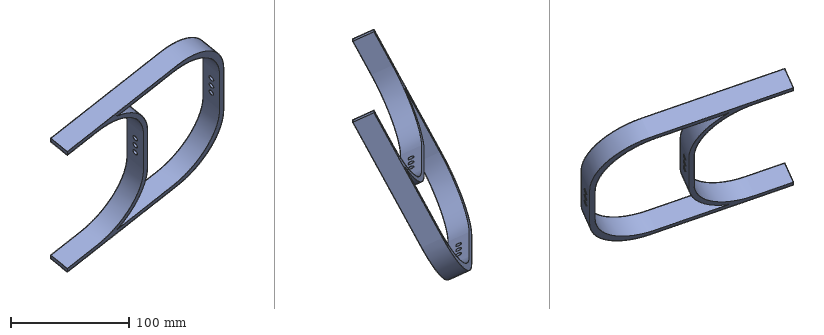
import cadquery as cq

width = 20.0
length = 185.0
height = 170.0
thickness = 5.0

outer_bend_radius = 55.0
crossbar_inner_radius = 55.0

crossbar_back = 95.0
hole_diameter = 5.2
hole_spacing = 10.0
hole_count = 3

rear = length / 2
front = -length / 2
inner_height = height - 2 * thickness


def rounded_end_plate(front_y, rear_y, plate_height, bend_radius):
    """Plate across the full width, with its two rear corners rounded."""
    plate_length = rear_y - front_y
    return (
        cq.Workplane("XY")
        .box(width, plate_length, plate_height)
        .edges(">Y and |X")
        .fillet(bend_radius)
        .translate((0, (front_y + rear_y) / 2, 0))
    )


def bent_strip(rear_y, inner_radius, outer_radius):
    """U-shaped strip opening toward the front."""
    outside = rounded_end_plate(front, rear_y, height, outer_radius)
    inside = rounded_end_plate(front - thickness, rear_y - thickness, inner_height, inner_radius)
    return outside.cut(inside)


frame = bent_strip(rear, outer_bend_radius, outer_bend_radius)

crossbar = bent_strip(
    front + crossbar_back,
    crossbar_inner_radius,
    crossbar_inner_radius + thickness,
)

holes = (
    cq.Workplane("XZ", origin=(0, rear + thickness, 0))
    .rarray(1.8, hole_spacing, 1, hole_count)
    .circle(hole_diameter / 2)
    .extrude(length + 2 * thickness)
)

result = frame.union(crossbar).cut(holes)